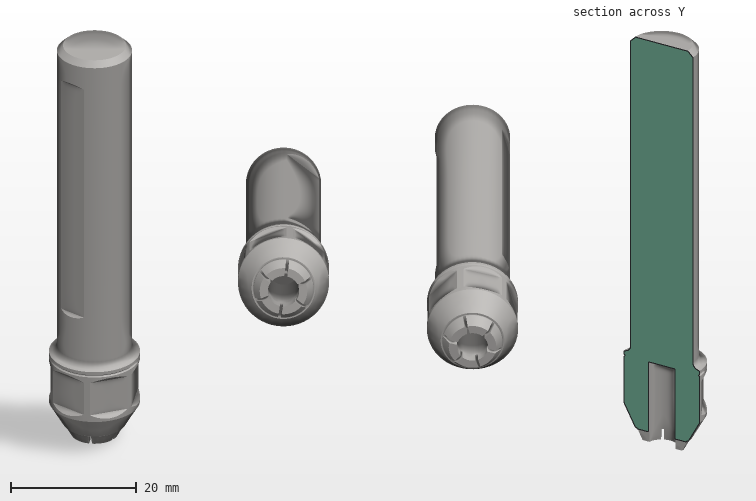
import cadquery as cq
import math

total_length = 70.0

shank_diameter = 12.0
shank_end_diameter = 10.0
shank_chamfer_height = 0.9
fillet_radius = 1.0
fillet_top = 15.95

flat_bottom = 23.9
flat_top = 65.1
front_flat_depth = 0.5
back_flat_depth = 1.0

collar_diameter = 14.5
collar_shoulder_angle = 20.0
groove_middle = 14.1
groove_width = 0.4
groove_depth = 0.2

hex_across_flats = 13.0
hex_sides = 6
hex_bottom = 7.0
hex_top = 12.8

cone_top = 5.8
cone_bottom = 2.0
cone_half_angle = 30.0
nose_root_height = 1.8
nose_root_diameter = 9.5
nose_tip_diameter = 7.55

bore_diameter = 5.0
bore_depth = 14.0
slit_width = 0.5
slit_count = 3

shank_radius = shank_diameter / 2
collar_radius = collar_diameter / 2


def fillet_point(slope):
    """Radius and height where the fillet at the shank's foot slopes down at the given angle."""
    return (
        shank_radius + fillet_radius * (1 - math.sin(slope)),
        fillet_top - fillet_radius * math.cos(slope),
    )


def make_body():
    """Turned body: nose, cone, collar and shank in one revolved outline."""
    cone_slope = math.tan(math.radians(cone_half_angle))
    cone_end_radius = collar_radius - (cone_top - cone_bottom) * cone_slope
    nose_root_radius = nose_root_diameter / 2

    shoulder_slope = math.radians(collar_shoulder_angle)
    fillet_middle = fillet_point((shoulder_slope + math.pi / 2) / 2)
    fillet_end = fillet_point(shoulder_slope)
    collar_top = fillet_end[1] - (collar_radius - fillet_end[0]) * math.tan(shoulder_slope)

    outline = (
        cq.Workplane("XZ")
        .moveTo(0, 0)
        .lineTo(nose_tip_diameter / 2, 0)
        .lineTo(nose_root_radius, nose_root_height)
        .lineTo(nose_root_radius, cone_bottom)
        .lineTo(cone_end_radius, cone_bottom)
        .lineTo(collar_radius, cone_top)
        .lineTo(collar_radius, groove_middle - groove_width / 2)
        .lineTo(collar_radius - groove_depth, groove_middle)
        .lineTo(collar_radius, groove_middle + groove_width / 2)
        .lineTo(collar_radius, collar_top)
        .lineTo(*fillet_end)
        .threePointArc(fillet_middle, (shank_radius, fillet_top))
        .lineTo(shank_radius, total_length - shank_chamfer_height)
        .lineTo(shank_end_diameter / 2, total_length)
        .lineTo(0, total_length)
        .close()
    )
    return outline.revolve(360, (0, 0, 0), (0, 1, 0))


def flat_cutter(offset, bottom, top, angle, outer_radius):
    """Cutter for a flat facing -Y turned by angle, with ends that slope outward at 45 degrees."""
    flare = outer_radius - offset
    profile = [
        (-offset, bottom),
        (-offset, top),
        (-outer_radius, top + flare),
        (-outer_radius, bottom - flare),
    ]
    cutter = cq.Workplane("YZ").polyline(profile).close().extrude(outer_radius, both=True)
    return cutter.rotate((0, 0, 0), (0, 0, 1), angle)


result = make_body()

for depth, angle in ((front_flat_depth, 0), (back_flat_depth, 180)):
    result = result.cut(flat_cutter(shank_radius - depth, flat_bottom, flat_top, angle, shank_radius))

for index in range(hex_sides):
    result = result.cut(
        flat_cutter(hex_across_flats / 2, hex_bottom, hex_top, index * 360 / hex_sides, collar_radius)
    )

result = result.cut(cq.Workplane("XY").circle(bore_diameter / 2).extrude(bore_depth))
for index in range(slit_count):
    slit = cq.Workplane("XY").rect(nose_root_diameter, slit_width).extrude(nose_root_height)
    result = result.cut(slit.rotate((0, 0, 0), (0, 0, 1), index * 180 / slit_count))